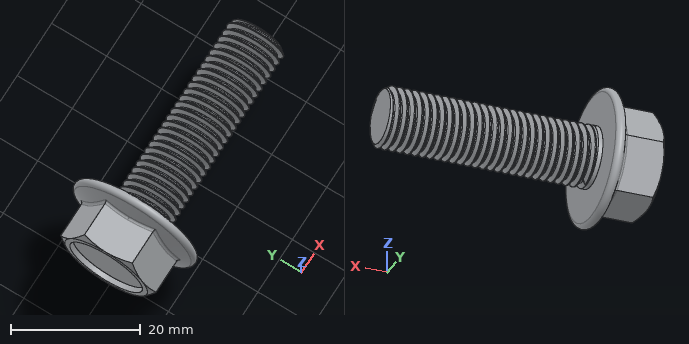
import cadquery as cq
import math

length = 44.2

across_flats = 15.05
corner_chamfer_angle = 30.0
recess_diameter = 13.15
recess_depth = 0.97
head_fillet = 0.5

flange_diameter = 22.3
bearing_face_x = 9.25
flange_rim_radius = 0.8
flange_cone_angle = 20.0
flange_seam_turn = 90.0

major_diameter = 10.0
minor_diameter = 8.5
shoulder_end_x = 10.0
shoulder_taper_length = 0.45
first_crest_x = 10.75
last_crest_x = 43.23
full_turns = 26
crest_width = 0.18
lead_in_turns = 0.5
run_out_turns = 1.5
flank_angle = 30.0
root_overlap = 0.15
tip_chamfer = 0.6
tip_envelope_margin = 0.45

corner_radius = across_flats / 2 / math.cos(math.pi / 6)
major_radius = major_diameter / 2
minor_radius = minor_diameter / 2
pitch = (last_crest_x - first_crest_x) / full_turns


def revolve_about_x(outline):
    """Turn an outline drawn as (x, radius) about the bolt axis."""
    return outline.close().revolve(360, (0, 0, 0), (1, 0, 0))


def make_flange():
    """Conical flange with a rounded rim tangent to the cone and the bearing face."""
    angle = math.radians(flange_cone_angle)
    rim_x = bearing_face_x - flange_rim_radius
    rim_r = flange_diameter / 2 - flange_rim_radius
    cone_end_x = rim_x - flange_rim_radius * math.cos(angle)
    cone_end_r = rim_r + flange_rim_radius * math.sin(angle)
    apex_x = cone_end_x - cone_end_r * math.tan(angle)
    outline = (
        cq.Workplane("XY")
        .moveTo(apex_x, 0)
        .lineTo(cone_end_x, cone_end_r)
        .threePointArc((rim_x, flange_diameter / 2), (bearing_face_x, rim_r))
        .lineTo(bearing_face_x, 0)
    )
    return revolve_about_x(outline)


def make_hexagon():
    """Hexagonal prism with two flats facing +Z and -Z."""
    return cq.Workplane("YZ").polygon(6, 2 * corner_radius).extrude(bearing_face_x)


def make_corner_trim():
    """Cone-ended envelope that chamfers only the hexagon corners."""
    flat_radius = across_flats / 2
    envelope_radius = flange_diameter / 2
    chamfer_length = math.tan(math.radians(corner_chamfer_angle)) * (envelope_radius - flat_radius)
    outline = (
        cq.Workplane("XY")
        .lineTo(0, flat_radius)
        .lineTo(chamfer_length, envelope_radius)
        .lineTo(bearing_face_x, envelope_radius)
        .lineTo(bearing_face_x, 0)
    )
    return revolve_about_x(outline)


def make_head():
    """Flanged hexagonal head with a filleted joint and a shallow round recess."""
    flange = make_flange().rotate((0, 0, 0), (1, 0, 0), flange_seam_turn)
    head = make_hexagon().intersect(make_corner_trim()).union(flange)
    joint_start_x = bearing_face_x / 2
    joint = cq.selectors.BoxSelector(
        (joint_start_x, -corner_radius, -corner_radius),
        (bearing_face_x - flange_rim_radius, corner_radius, corner_radius),
    )
    head = head.edges(joint).edges("not |X").fillet(head_fillet)
    recess = cq.Workplane("YZ").circle(recess_diameter / 2).extrude(recess_depth)
    return head.cut(recess)


def make_core():
    """Plain shoulder under the head tapering down to the thread root cylinder."""
    outline = (
        cq.Workplane("XY")
        .moveTo(bearing_face_x, 0)
        .lineTo(bearing_face_x, major_radius)
        .lineTo(shoulder_end_x, major_radius)
        .lineTo(shoulder_end_x + shoulder_taper_length, minor_radius)
        .lineTo(length, minor_radius)
        .lineTo(length, 0)
    )
    return revolve_about_x(outline)


def make_thread():
    """Right-handed helical ridge, emerging from the shoulder and cut off at the tip."""
    root_radius = minor_radius - root_overlap
    root_half_width = crest_width / 2 + (major_radius - root_radius) * math.tan(math.radians(flank_angle))
    turns = lead_in_turns + full_turns + run_out_turns
    helix = cq.Wire.makeHelix(pitch, turns * pitch, minor_radius)
    ridge = (
        cq.Workplane("XZ")
        .moveTo(root_radius, -root_half_width)
        .lineTo(major_radius, -crest_width / 2)
        .lineTo(major_radius, crest_width / 2)
        .lineTo(root_radius, root_half_width)
        .close()
        .sweep(cq.Workplane(helix), isFrenet=True)
        .rotate((0, 0, 0), (0, 1, 0), 90)
        .translate((first_crest_x - lead_in_turns * pitch, 0, 0))
    )
    tip_envelope = (
        cq.Workplane("YZ")
        .circle(major_radius + tip_envelope_margin)
        .extrude(length)
        .faces(">X")
        .chamfer(tip_chamfer + tip_envelope_margin)
    )
    return ridge.intersect(tip_envelope)


result = make_head().union(make_core()).union(make_thread())